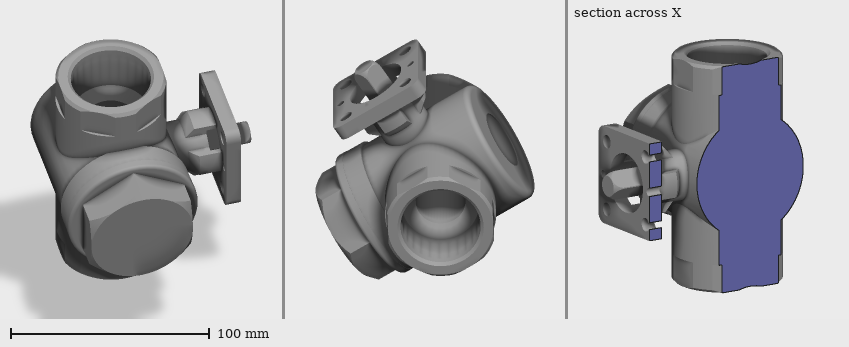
import cadquery as cq
import math


BODY_DIA = 64.5
BODY_END_X = -36.9
BODY_END_FILLET = 3.0
LABEL_DIA = 30.0
LABEL_DEPTH = 0.6
COLLAR_DIA = 67.5
COLLAR_START_X = 26.4
CAP_DIA = 68.0
CAP_START_X = 36.9
CAP_END_X = 42.0
CAP_FILLET = 1.8

HEX_FLATS = 53.1
NUT_END_X = 57.8
NUT_BEVEL_LENGTH = 4.0
NUT_BEVEL_DIA = 61.5

PORT_DIA = 56.0
PORT_HALF_LENGTH = 59.1
PORT_BEVEL = (PORT_DIA - HEX_FLATS) / 2
PORT_FLAT_LENGTH = 14.7
THREAD_MOUTH_DIA = 43.5
THREAD_START_DIA = 40.4
THREAD_END_DIA = 38.8
THREAD_BEVEL = 1.5
THREAD_DEPTH = 25.4
FLOW_DIA = 25.0
FUNNEL_END_Z = 29.5

NECK_DIA = 26.4
NECK_TOP_Y = 48.2
TAB_OUTER_DIA = 35.6
TAB_WIDTH = 13.2
TAB_CONE_TOP_Y = 41.7
TAB_CONE_BOTTOM_Y = 37.1

PLATE_SIDE = 50.8
PLATE_BOTTOM_Y = 53.3
PLATE_TOP_Y = 61.0
PLATE_CORNER_RADIUS = 5.1
PLATE_BORE_DIA = 30.7
BOLT_HOLE_DIA = 7.0
BOLT_SPACING = 35.3
PIN_HOLE_DIA = 4.1
PIN_HOLE_OFFSET = 20.8

STEM_DIA = 15.0
STEM_FLATS = 11.0
OVERALL_Y = 106.0
STEM_TOP_Y = OVERALL_Y - CAP_DIA / 2
STEM_TOP_DIA = 10.6
STEM_DOME_HEIGHT = 5.2


def x_disc(dia, x_start, x_end):
    return cq.Workplane("YZ", origin=(x_start, 0, 0)).circle(dia / 2).extrude(x_end - x_start)


def y_plane(y):
    """Sketch plane across the stem axis: local x is X, local y is Z, normal is +Y."""
    return cq.Workplane(cq.Plane(origin=(0, y, 0), xDir=(1, 0, 0), normal=(0, 1, 0)))


def hex_across_corners(flats):
    return flats / math.cos(math.radians(30))


def make_body():
    shell = x_disc(BODY_DIA, BODY_END_X, COLLAR_START_X).faces("<X").edges().fillet(BODY_END_FILLET)
    collar = x_disc(COLLAR_DIA, COLLAR_START_X, CAP_START_X)
    cap = x_disc(CAP_DIA, CAP_START_X, CAP_END_X).faces(">X").edges().fillet(CAP_FILLET)
    label_recess = x_disc(LABEL_DIA, BODY_END_X, BODY_END_X + LABEL_DEPTH)
    return shell.union(collar).union(cap).cut(label_recess)


def make_nut():
    """Hexagon with corners toward +Z and -Z, its outer corners bevelled by a cone."""
    hexagon = (
        cq.Workplane("YZ", origin=(CAP_START_X, 0, 0))
        .polygon(6, hex_across_corners(HEX_FLATS))
        .extrude(NUT_END_X - CAP_START_X)
        .rotate((0, 0, 0), (1, 0, 0), 90)
    )
    bevel_envelope = (
        cq.Workplane("XY")
        .moveTo(CAP_START_X, 0)
        .lineTo(CAP_START_X, NUT_BEVEL_DIA / 2)
        .lineTo(NUT_END_X - NUT_BEVEL_LENGTH, NUT_BEVEL_DIA / 2)
        .lineTo(NUT_END_X, HEX_FLATS / 2)
        .lineTo(NUT_END_X, 0)
        .close()
        .revolve(360, (0, 0, 0), (1, 0, 0))
    )
    return hexagon.intersect(bevel_envelope)


def make_ports():
    barrel = (
        cq.Workplane("XY", origin=(0, 0, -PORT_HALF_LENGTH))
        .circle(PORT_DIA / 2)
        .extrude(2 * PORT_HALF_LENGTH)
        .faces("|Z").edges().chamfer(PORT_BEVEL)
    )
    flat_cutter = (
        cq.Workplane("XY", origin=(0, 0, PORT_HALF_LENGTH - PORT_FLAT_LENGTH))
        .circle(PORT_DIA)
        .polygon(6, hex_across_corners(HEX_FLATS))
        .extrude(PORT_FLAT_LENGTH)
    )
    return barrel.cut(flat_cutter).cut(flat_cutter.mirror("XY"))


def make_flow_passage():
    """Bevelled, tapered thread bore and funnel at each end, joined by a straight bore."""
    upper_half = (
        cq.Workplane("XZ")
        .lineTo(FLOW_DIA / 2, 0)
        .lineTo(FLOW_DIA / 2, FUNNEL_END_Z)
        .lineTo(THREAD_END_DIA / 2, PORT_HALF_LENGTH - THREAD_DEPTH)
        .lineTo(THREAD_START_DIA / 2, PORT_HALF_LENGTH - THREAD_BEVEL)
        .lineTo(THREAD_MOUTH_DIA / 2, PORT_HALF_LENGTH)
        .lineTo(0, PORT_HALF_LENGTH)
        .close()
        .revolve(360, (0, 0, 0), (0, 1, 0))
    )
    return upper_half.union(upper_half.mirror("XY"))


def make_neck():
    return y_plane(0).circle(NECK_DIA / 2).extrude(NECK_TOP_Y)


def make_tabs():
    """Ring with a conical foot, trimmed to a cross of four tabs and opened above the neck."""
    ring = (
        cq.Workplane("XY")
        .moveTo(0, TAB_CONE_BOTTOM_Y)
        .lineTo(NECK_DIA / 2, TAB_CONE_BOTTOM_Y)
        .lineTo(TAB_OUTER_DIA / 2, TAB_CONE_TOP_Y)
        .lineTo(TAB_OUTER_DIA / 2, PLATE_BOTTOM_Y)
        .lineTo(0, PLATE_BOTTOM_Y)
        .close()
        .revolve(360, (0, 0, 0), (0, 1, 0))
    )
    arm = y_plane(0).rect(TAB_OUTER_DIA, TAB_WIDTH).extrude(PLATE_BOTTOM_Y)
    cross = arm.union(arm.rotate((0, 0, 0), (0, 1, 0), 90))
    opening = y_plane(NECK_TOP_Y).circle(PLATE_BORE_DIA / 2).extrude(PLATE_BOTTOM_Y - NECK_TOP_Y)
    return ring.intersect(cross).cut(opening)


def make_plate():
    thickness = PLATE_TOP_Y - PLATE_BOTTOM_Y
    plate = (
        y_plane(PLATE_BOTTOM_Y)
        .rect(PLATE_SIDE, PLATE_SIDE)
        .extrude(thickness)
        .edges("|Y").fillet(PLATE_CORNER_RADIUS)
    )
    bore = y_plane(PLATE_BOTTOM_Y).circle(PLATE_BORE_DIA / 2).extrude(thickness)
    bolt_holes = (
        y_plane(PLATE_BOTTOM_Y)
        .rect(BOLT_SPACING, BOLT_SPACING, forConstruction=True)
        .vertices()
        .circle(BOLT_HOLE_DIA / 2)
        .extrude(thickness)
    )
    pin_holes = (
        y_plane(PLATE_BOTTOM_Y)
        .pushPoints([(-PIN_HOLE_OFFSET, 0), (PIN_HOLE_OFFSET, 0)])
        .circle(PIN_HOLE_DIA / 2)
        .extrude(thickness)
    )
    return plate.cut(bore).cut(bolt_holes).cut(pin_holes)


def make_stem():
    """Square bar turned 45 degrees, its corners trimmed by a round-shouldered cylinder."""
    bar = (
        y_plane(0)
        .rect(STEM_FLATS, STEM_FLATS)
        .extrude(STEM_TOP_Y)
        .rotate((0, 0, 0), (0, 1, 0), 45)
    )
    shoulder_y = STEM_TOP_Y - STEM_DOME_HEIGHT
    turned_envelope = (
        cq.Workplane("XY")
        .lineTo(STEM_DIA / 2, 0)
        .lineTo(STEM_DIA / 2, shoulder_y)
        .tangentArcPoint((STEM_TOP_DIA / 2, STEM_TOP_Y), relative=False)
        .lineTo(0, STEM_TOP_Y)
        .close()
        .revolve(360, (0, 0, 0), (0, 1, 0))
    )
    return bar.intersect(turned_envelope)


result = make_body()
for piece in (make_nut(), make_ports(), make_neck(), make_tabs(), make_plate(), make_stem()):
    result = result.union(piece)
result = result.cut(make_flow_passage())